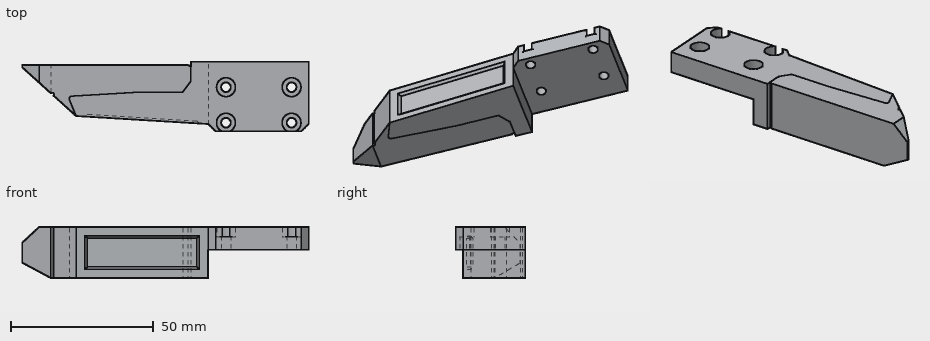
import cadquery as cq
import math

length = 100.3
width = 24.4
height = 18.0

plate_thickness = 8.0
plate_start_x = 65.1
side_chamfer = 2.6
side_end_y = 2.5

nose = (18.9, 5.3)
joint_tip = (16.0, 12.2)
joint_tip_radius = 0.9
joint_bend_x = 40.6
joint_y = 13.69
joint_corner_x = 56.2
shoulder_x = 59.1
shoulder_low_y = 17.7

blade_back_y = 23.3
tip_y = 22.4
back_chamfer_x = 1.1
back_chamfer_y = 0.6
groove_x = 10.48
groove_radius = 0.6
tip_top_z = 12.4
tip_top_run = 5.9
tip_bottom_z = 5.37
tip_bottom_run = 10.0

pocket_start_x = 21.9
pocket_end_x = 62.0
pocket_height = 11.8
pocket_depth = 0.9
pocket_wall_angle = 45

hole_diameter = 3.3
bore_diameter = 6.6
bore_depth = 3.4
hole_xs = (71.3, 94.3)
hole_ys = (3.0, 15.4)


def joint_region():
    """Full-height prism on the holder's side of the joint, with its tip rounded."""
    prism = (
        cq.Workplane("XY")
        .polyline([
            nose,
            joint_tip,
            (joint_bend_x, joint_y),
            (joint_corner_x, joint_y),
            (shoulder_x, shoulder_low_y),
            (shoulder_x, width),
            (length, width),
            (length, side_chamfer),
            (length - side_chamfer, 0),
            (plate_start_x + side_chamfer, 0),
            (plate_start_x, side_end_y),
        ])
        .close()
        .extrude(height)
    )
    tip_edge = cq.selectors.NearestToPointSelector((*joint_tip, height / 2))
    return prism.edges(tip_edge).fillet(joint_tip_radius)


def side_pocket():
    """Cutter that narrows inward from the holder's tapered side."""
    run = plate_start_x - nose[0]
    drop = nose[1] - side_end_y
    slope = math.hypot(run, drop)
    center_x = (pocket_start_x + pocket_end_x) / 2
    center_y = nose[1] - drop * (center_x - nose[0]) / run
    pocket_length = (pocket_end_x - pocket_start_x) * slope / run
    side_plane = cq.Plane(
        origin=(center_x, center_y, height / 2),
        xDir=(run, -drop, 0),
        normal=(drop, run, 0),
    )
    return (
        cq.Workplane(side_plane)
        .rect(pocket_length, pocket_height)
        .extrude(pocket_depth, taper=pocket_wall_angle)
    )


def make_holder():
    under_plate = cq.Workplane("XY").box(
        length - plate_start_x, width, height - plate_thickness, centered=False
    ).translate((plate_start_x, 0, 0))
    hole_centers = [(x, y) for x in hole_xs for y in hole_ys]
    return (
        joint_region()
        .cut(under_plate)
        .cut(side_pocket())
        .faces(">Z")
        .workplane(origin=(0, 0, height))
        .pushPoints(hole_centers)
        .cboreHole(hole_diameter, bore_diameter, bore_depth)
    )


def face_groove():
    """Upright cylinder centred on the slanted face, leaving a half-round groove."""
    groove_y = tip_y + (nose[1] - tip_y) * groove_x / nose[0]
    return cq.Workplane("XY").center(groove_x, groove_y).circle(groove_radius).extrude(height)


def make_blade():
    outline = (
        cq.Workplane("XY")
        .polyline([
            (0, blade_back_y),
            (0, tip_y),
            nose,
            (shoulder_x, joint_y),
            (shoulder_x, blade_back_y - back_chamfer_y),
            (shoulder_x - back_chamfer_x, blade_back_y),
        ])
        .close()
        .extrude(height)
    )
    side_profile = (
        cq.Workplane("XZ")
        .polyline([
            (0, tip_bottom_z),
            (tip_bottom_run, 0),
            (shoulder_x, 0),
            (shoulder_x, height),
            (tip_top_run, height),
            (0, tip_top_z),
        ])
        .close()
        .extrude(-width)
    )
    return outline.intersect(side_profile).cut(joint_region()).cut(face_groove())


holder = make_holder()
blade = make_blade()
result = cq.Compound.makeCompound([holder.val(), blade.val()])